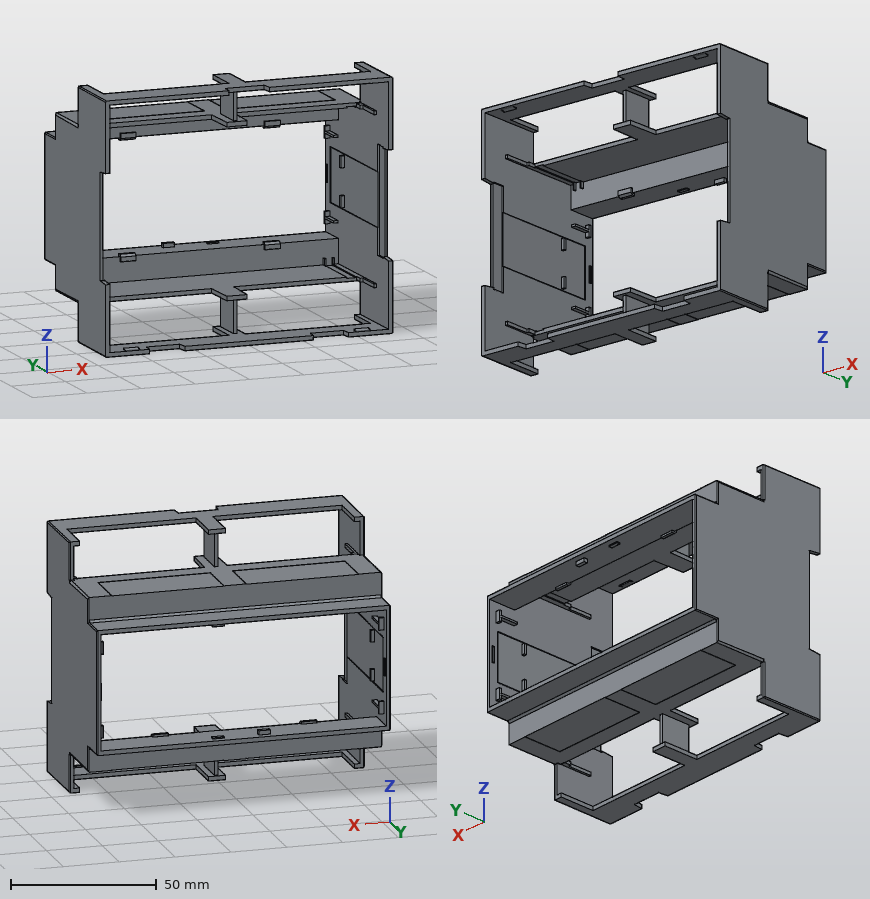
import cadquery as cq

width = 106.0
length = 58.0
height = 90.0
wall = 1.6

base_half = height / 2
shoulder_half = 31.3
nose_half = 22.4
base_end = 26.2
shoulder_end = 47.8

outer_half_rear = width / 2
outer_half_front = 52.65
inner_half_rear = 51.4
inner_half_front = 51.05
edge_chamfer = 0.4
shoulder_chamfer = 0.65
corner_gusset = 0.8

rail_depth = 5.0
rail_half_rear = 19.5
rail_half_deep = 19.0

window_start = 11.3
shoulder_plate_start = 24.7
side_finger_width = 3.8
outer_finger_half = 3.05
finger_half_root = 4.1
finger_half_tip = 3.75
web_thickness = 1.3
web_start = 12.8
web_end = 25.2

groove_inner = 45.8
groove_outer = 49.0
groove_depth = 0.4

label_inner = 4.0
label_outer = 44.2
label_start = 31.5
label_depth = 0.1

overlap = 0.3


def box(x0, x1, y0, y1, z0, z1):
    """Axis-aligned block between two opposite corners."""
    return cq.Workplane("XY").box(x1 - x0, y1 - y0, z1 - z0, centered=False).translate((x0, y0, z0))


def corners(shape):
    """The shape mirrored into all four X / Z quadrants."""
    pair = shape.union(shape.mirror("YZ"))
    return pair.union(pair.mirror("XY"))


def stepped_prism(steps):
    """Prism along X, symmetric about Z = 0, from (end Y, half height) steps."""
    upper = []
    start = 0.0
    for end, half in steps:
        upper += [(start, half), (end, half)]
        start = end
    lower = [(y, -z) for y, z in reversed(upper)]
    return cq.Workplane("YZ").polyline(upper + lower).close().extrude(width / 2, both=True)


def tapered_block(rear_half, front_half):
    """Tall block whose X width changes linearly from rear to front."""
    outline = [(-rear_half, 0), (rear_half, 0), (front_half, length), (-front_half, length)]
    return cq.Workplane("XY").polyline(outline).close().extrude(height / 2, both=True)


def outer_body():
    steps = [(base_end, base_half), (shoulder_end, shoulder_half), (length, nose_half)]
    body = stepped_prism(steps).intersect(tapered_block(outer_half_rear, outer_half_front))
    side_edges = []
    for edge in body.edges().vals():
        middle = edge.Center()
        on_side = abs(middle.x) > outer_half_front - overlap
        on_rear = middle.y < overlap
        on_shoulder = abs(abs(middle.z) - shoulder_half) < overlap
        if on_side and not on_rear and not on_shoulder:
            side_edges.append(edge)
    chamfered = body.newObject(side_edges).chamfer(edge_chamfer)
    return chamfered.union(shoulder_gussets()).cut(shoulder_edge_cuts())


def shoulder_gussets():
    """Small sloped filling in the outer corner between nose and shoulder."""
    half = outer_half_front - edge_chamfer
    outline = [
        (shoulder_end - overlap, nose_half - overlap),
        (shoulder_end + corner_gusset, nose_half - overlap),
        (shoulder_end + corner_gusset, nose_half),
        (shoulder_end, nose_half + corner_gusset),
        (shoulder_end - overlap, nose_half + corner_gusset),
    ]
    gusset = cq.Workplane("YZ").polyline(outline).close().extrude(half, both=True)
    return gusset.union(gusset.mirror("XY"))


def shoulder_edge_cuts():
    """Slopes along the side edges of the shoulders."""
    top = shoulder_half
    outline = [
        (outer_half_front - edge_chamfer, top),
        (outer_half_front + edge_chamfer, top - 2 * shoulder_chamfer),
        (outer_half_front + edge_chamfer, top),
    ]
    cut = cq.Workplane("XZ").polyline(outline).close().extrude(-(shoulder_end - base_end))
    return corners(cut.translate((0, base_end, 0)))


def cavity():
    steps = [
        (base_end, base_half - wall),
        (shoulder_end - wall, shoulder_half - wall),
        (length, nose_half - wall),
    ]
    return stepped_prism(steps).intersect(tapered_block(inner_half_rear, inner_half_front))


def terminal_windows():
    """Openings through the base plates, with the space behind them."""
    window = box(
        outer_finger_half, outer_half_rear - side_finger_width,
        window_start, base_end + overlap,
        base_half - wall - overlap, base_half + overlap,
    )
    space = box(0, inner_half_front, base_end - wall, base_end + overlap, shoulder_half, base_half - wall)
    return corners(window.union(space))


def shoulder_plates():
    """Rear ends of the shoulder plates, each with a central finger and a web."""
    inner = shoulder_half - wall
    plate = box(-inner_half_front, inner_half_front, shoulder_plate_start, base_end + overlap,
                inner, shoulder_half)
    outline = [
        (-finger_half_tip, window_start),
        (finger_half_tip, window_start),
        (finger_half_root, shoulder_plate_start + overlap),
        (-finger_half_root, shoulder_plate_start + overlap),
    ]
    finger = cq.Workplane("XY").workplane(offset=inner).polyline(outline).close().extrude(wall)
    web = box(-web_thickness / 2, web_thickness / 2, web_start, web_end,
              shoulder_half - overlap, base_half - wall + overlap)
    upper = plate.union(finger).union(web)
    return upper.union(upper.mirror("XY"))


def rail_notch():
    outline = [
        (-overlap, rail_half_rear),
        (0, rail_half_rear),
        (rail_depth, rail_half_deep),
        (rail_depth, -rail_half_deep),
        (0, -rail_half_rear),
        (-overlap, -rail_half_rear),
    ]
    return cq.Workplane("YZ").polyline(outline).close().extrude(width, both=True)


def latch_notches():
    """Openings for latches: one in the top rear edge, two in the bottom one."""
    depth = 3.9
    flare = 0.4
    top_half = 7.1
    bottom_half = 6.1
    bottom_center = 30.2

    def notch(center_x, half, z0):
        outline = [(-half - flare, 0), (half + flare, 0), (half, depth), (-half, depth)]
        shape = cq.Workplane("XY").polyline(outline).close().extrude(wall + overlap)
        return shape.translate((center_x, 0, z0))

    notches = notch(0, top_half, base_half - wall)
    for x in (-bottom_center, bottom_center):
        notches = notches.union(notch(x, bottom_half, -base_half - overlap))
    return notches


def label_fields():
    field = box(label_inner, label_outer, label_start, shoulder_end,
                shoulder_half - label_depth, shoulder_half + overlap)
    return corners(field)


def side_wall_recesses():
    """Shallow recesses in the inner faces of the side walls."""
    rear_depth = 0.6
    rear_end = 10.0
    middle_depth = 0.15
    middle_half = 9.8
    middle_end = 54.0
    rear = box(0, inner_half_rear + rear_depth, rail_depth, rear_end, 0, rail_half_rear)
    middle = box(0, inner_half_front + middle_depth + overlap, rear_end, middle_end, 0, middle_half)
    return corners(rear.union(middle))


def extruded_along_x(outline, x0, x1):
    """Prism between two X positions from a (Y, Z) outline."""
    return cq.Workplane("YZ").workplane(offset=x0).polyline(outline).close().extrude(x1 - x0)


def base_pads():
    """Low ramps on the inner faces of the base plates, rising from the rear."""
    inner = base_half - wall
    pad_inner, pad_outer = 39.8, 45.2
    pad_start, pad_end = 1.2, 2.8
    pad_height = 0.5
    outline = [
        (pad_start, inner),
        (pad_end, inner - pad_height),
        (pad_end, inner + overlap),
        (pad_start, inner + overlap),
    ]
    return corners(extruded_along_x(outline, pad_inner, pad_outer))


def step_clips():
    """Clips with a sloped nose on the edges between shoulder and nose."""
    inner = nose_half - wall
    step = shoulder_end - wall
    clip_inner, clip_outer = 23.8, 29.4
    clip_reach = 0.9
    clip_drop = 0.8
    clip_top = inner + 1.7
    clip_end = step + 1.2
    outline = [
        (step - clip_reach, clip_top),
        (step - clip_reach, inner),
        (step, inner - clip_drop),
        (clip_end, inner - clip_drop),
        (clip_end, clip_top),
    ]
    return corners(extruded_along_x(outline, clip_inner, clip_outer))


def nose_pads():
    """Tall and low pads on the inner nose faces, swapped between top and bottom."""
    inner = nose_half - wall
    pad_inner, pad_outer = 6.2, 10.3
    pad_start, pad_end = 54.0, 55.5
    low_height, tall_height = 0.4, 1.5
    tall = box(pad_inner, pad_outer, pad_start, pad_end, inner - tall_height, inner + overlap)
    low = box(-pad_outer, -pad_inner, pad_start, pad_end, inner - low_height, inner + overlap)
    pads = tall.union(low)
    return pads.union(pads.rotate((0, 0, 0), (0, 1, 0), 180))


def wall_ledges():
    """Ledges on the side walls that continue the shoulder plates to the rear."""
    root = inner_half_rear + overlap
    inner = shoulder_half - wall
    outer = shoulder_half - overlap
    wide_tip, narrow_tip = 49.4, 50.4
    narrow_start, wide_start = 11.0, 21.5
    wide = box(wide_tip, root, wide_start, base_end, inner, outer)
    narrow = box(narrow_tip, root, narrow_start, wide_start + overlap, inner, outer)
    return corners(wide.union(narrow))


def wall_guides():
    """Guide rails with end stops, and low bumps, on the inner side walls."""
    root = inner_half_rear + overlap
    guide_tip = 49.4
    guide_z = 15.0
    guide_half_thickness = 0.4
    guide_start, guide_end = 46.5, 55.0
    stop_length = 1.0
    stop_half = 2.2
    guide = box(guide_tip, root, guide_start, guide_end,
                guide_z - guide_half_thickness, guide_z + guide_half_thickness)
    stop = box(guide_tip, root, guide_end - stop_length, guide_end, guide_z - stop_half, guide_z + stop_half)
    bump_tip = 50.2
    bump_start, bump_end = 41.5, 42.5
    bump_low, bump_high = 4.9, 9.1
    bump = box(bump_tip, root, bump_start, bump_end, bump_low, bump_high)
    center_tip = 50.7
    center_start, center_end = 56.0, 57.0
    center_half = 3.1
    center = box(center_tip, root, center_start, center_end, 0, center_half)
    return corners(guide.union(stop).union(bump).union(center))


def plate_grooves():
    """Shallow grooves along Y in the inner faces of the shoulder plates."""
    inner = shoulder_half - wall
    return corners(box(groove_inner, groove_outer, shoulder_plate_start - overlap, shoulder_end - wall,
                       inner - overlap, inner + groove_depth))


def plate_tabs():
    """Small upright tabs beside the front ends of the plate grooves."""
    inner = shoulder_half - wall
    step = shoulder_end - wall
    tab_length, tab_height, tab_thickness = 1.2, 2.4, 0.5
    tabs = cq.Workplane("XY")
    for x in (groove_inner, groove_outer):
        tabs = tabs.add(box(x - tab_thickness / 2, x + tab_thickness / 2, step - tab_length, step + overlap,
                            inner - tab_height, inner + groove_depth + overlap))
    return corners(tabs.combine())


body = outer_body().cut(label_fields())
body = body.cut(cavity()).cut(terminal_windows())
body = body.cut(side_wall_recesses()).cut(latch_notches())
body = body.union(shoulder_plates()).cut(plate_grooves())
body = body.union(base_pads()).union(step_clips()).union(nose_pads())
body = body.union(wall_ledges()).union(wall_guides()).union(plate_tabs())
result = body.cut(rail_notch())